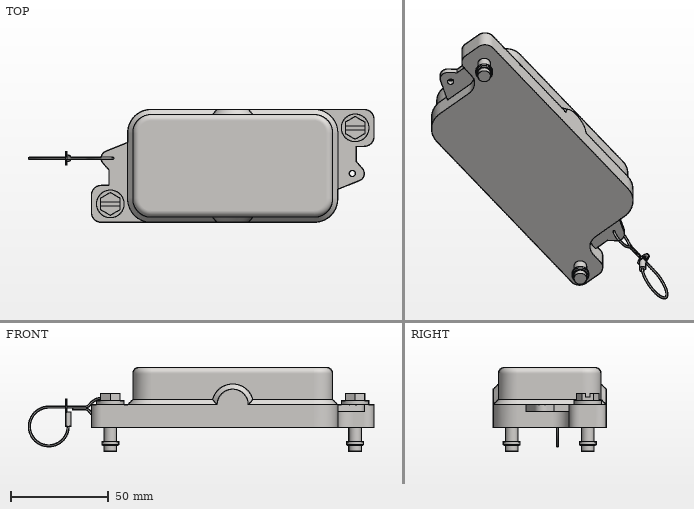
import cadquery as cq
import math

overall_length = 177.5

base_half_length = 54.0
base_width = 58.0
base_half_width = base_width / 2
base_height = 11.7
base_corner_radius = 12.0

ledge = 2.7
dome_top = 30.9
dome_edge_radius = 3.2

boss_radius = 8.0

ear_end = 72.6
ear_inner_y = 10.0
ear_corner_radius = 5.1
ear_blend_radius = 7.8

tab_thickness = 3.5
tab_step_x = 63.5
tab_step_y = ear_inner_y - ear_blend_radius
tab_tip = (70.3, -5.5)
tab_root_y = -12.0
tab_tip_radius = 3.9
eyelet_x = 61.5
eyelet_y = -3.9
eyelet_diameter = 3.0

screw_x = 62.8
screw_y = 19.5
washer_diameter = 14.2
washer_height = 2.1
hex_across_flats = 10.1
hex_height = 3.7
slot_width = 2.1
slot_depth = 1.8
shank_diameter = 6.5
shank_end = -12.2
collar_diameter = 8.7
collar_top = -7.3
collar_height = 2.0
collar_chamfer = 0.5

lanyard_y = -eyelet_y
wire_diameter = 1.0
ring_radius = 10.0
ring_x = ear_end - overall_length + ring_radius + wire_diameter / 2
ring_z = 0.5
splice_start = -82.2
splice_end = -76.0
splice_spacing = 0.9
loop_x = -eyelet_x
loop_bulge_x = -72.8
loop_bulge_height = 2.5
loop_crest_x = -65.7
loop_half_height = 5.0
strand_end_height = 0.9
tab_mid_z = base_height - tab_thickness / 2

plate_x = -85.7
plate_thickness = 0.7
plate_radius = 3.5
plate_hole_radius = 2.0
plate_z = 11.0
crimp_radius = 1.69
crimp_x = -84.7
crimp_top = 8.0


def rounded_block(half_length, half_width, corner_radius, height):
    """Upright block centred on the origin with rounded vertical edges."""
    return (
        cq.Workplane("XY")
        .rect(2 * half_length, 2 * half_width)
        .extrude(height)
        .edges("|Z")
        .fillet(corner_radius)
    )


def half_turn(shape):
    """The same feature at the opposite corner of the part."""
    return shape.rotate((0, 0, 0), (0, 0, 1), 180)


def make_cover():
    """Base with its chamfered ledge and the round-edged dome above it."""
    base = rounded_block(
        base_half_length, base_half_width, base_corner_radius, base_height + ledge
    )
    base = base.faces(">Z").chamfer(ledge)
    dome = rounded_block(
        base_half_length - ledge, base_half_width - ledge, base_corner_radius - ledge, dome_top
    )
    dome = dome.faces(">Z").edges().fillet(dome_edge_radius)
    return base.union(dome)


def make_boss():
    """Cone on the +Y side; its lower half lies inside the base."""
    cone = cq.Solid.makeCone(
        boss_radius + ledge,
        boss_radius,
        ledge,
        pnt=cq.Vector(0, base_half_width - ledge, base_height),
        dir=cq.Vector(0, 1, 0),
    )
    return cq.Workplane(cone)


def make_ear():
    """Full-height ear at the +X +Y corner, blended into the end of the base."""
    ear = (
        cq.Workplane("XY")
        .moveTo(0, ear_inner_y)
        .lineTo(ear_end, ear_inner_y)
        .lineTo(ear_end, base_half_width)
        .lineTo(0, base_half_width)
        .close()
        .extrude(base_height)
        .edges("|Z and >X")
        .fillet(ear_corner_radius)
    )
    blend = (
        cq.Workplane("XY")
        .moveTo(base_half_length, ear_inner_y)
        .lineTo(base_half_length + ear_blend_radius, ear_inner_y)
        .radiusArc((base_half_length, ear_inner_y - ear_blend_radius), -ear_blend_radius)
        .close()
        .extrude(base_height)
    )
    return ear.union(blend)


def make_tab():
    """Thin tab at the +X end, flush with the top of the ear."""
    return (
        cq.Workplane("XY", origin=(0, 0, base_height - tab_thickness))
        .moveTo(0, tab_root_y)
        .lineTo(base_half_length, tab_root_y)
        .lineTo(*tab_tip)
        .lineTo(tab_step_x, tab_step_y)
        .lineTo(tab_step_x, ear_inner_y)
        .lineTo(0, ear_inner_y)
        .close()
        .extrude(tab_thickness)
        .edges("|Z and >X")
        .fillet(tab_tip_radius)
    )


def make_screw():
    """Slotted hex screw with a washer above the ear and a collar on its shank."""
    head_bottom = base_height + washer_height
    head_top = head_bottom + hex_height
    axis = cq.Workplane("XY", origin=(screw_x, screw_y, 0))
    washer = axis.workplane(offset=base_height).circle(washer_diameter / 2).extrude(washer_height)
    hex_diameter = hex_across_flats / math.cos(math.pi / 6)
    head = axis.workplane(offset=head_bottom).transformed(rotate=(0, 0, 90))
    head = head.polygon(6, hex_diameter).extrude(hex_height)
    slot = axis.workplane(offset=head_top - slot_depth)
    slot = slot.rect(hex_diameter, slot_width).extrude(slot_depth)
    shank = axis.workplane(offset=shank_end).circle(shank_diameter / 2)
    shank = shank.extrude(base_height - shank_end)
    collar = axis.workplane(offset=collar_top - collar_height).circle(collar_diameter / 2)
    collar = collar.extrude(collar_height).faces("<Z").chamfer(collar_chamfer)
    return washer.union(head.cut(slot)).union(shank).union(collar)


def sweep_wire(path, start, direction):
    """Round wire along a path in the lanyard plane, from its start (x, z) and direction."""
    start_plane = cq.Plane(origin=(start[0], lanyard_y, start[1]), xDir=(0, 1, 0), normal=direction)
    return cq.Workplane(start_plane).circle(wire_diameter / 2).sweep(path)


def add_loop_strand(run, side):
    """Continue a straight run around one half of the loop: side is 1 above the tab, -1 below."""
    return run.spline(
        [
            (loop_bulge_x, tab_mid_z + side * loop_bulge_height),
            (loop_crest_x, tab_mid_z + side * loop_half_height),
            (loop_x, tab_mid_z + side * strand_end_height),
        ],
        tangents=[(1, 0), (0, -side)],
        includeCurrent=True,
    )


def make_wire():
    """Open ring running into the upper loop strand, and the doubled end with the lower one."""
    plane = cq.Workplane("XZ", origin=(0, lanyard_y, 0))
    run_z = ring_z + ring_radius
    return_z = run_z - splice_spacing
    diagonal = ring_radius * math.sqrt(0.5)

    ring_start = (ring_x + ring_radius, ring_z)
    ring_path = (
        plane.moveTo(*ring_start)
        .threePointArc((ring_x - diagonal, ring_z - diagonal), (ring_x, run_z))
        .lineTo(splice_end, run_z)
    )
    ring = sweep_wire(add_loop_strand(ring_path, 1), ring_start, (0, 0, -1))

    return_start = (splice_start, return_z)
    return_path = plane.moveTo(*return_start).lineTo(splice_end, return_z)
    return_end = sweep_wire(add_loop_strand(return_path, -1), return_start, (1, 0, 0))
    return ring.union(return_end)


def make_stop():
    """Pierced stop plate with a flat-backed crimp below it."""
    plate = (
        cq.Workplane("YZ", origin=(plate_x, lanyard_y, plate_z))
        .circle(plate_radius)
        .circle(plate_hole_radius)
        .extrude(plate_thickness)
    )
    crimp_height = crimp_top - ring_z
    crimp = cq.Workplane("XY", origin=(crimp_x, lanyard_y, ring_z))
    crimp = crimp.circle(crimp_radius).extrude(crimp_height)
    ahead_of_flat = cq.Workplane("XY", origin=(plate_x, lanyard_y, ring_z)).box(
        2 * crimp_radius, 2 * crimp_radius, crimp_height, centered=(False, True, False)
    )
    return plate.union(crimp.intersect(ahead_of_flat))


def make_eyelet():
    """Cutter for the open hole in the tab without a lanyard."""
    return (
        cq.Workplane("XY")
        .center(eyelet_x, eyelet_y)
        .circle(eyelet_diameter / 2)
        .extrude(base_height)
    )


boss = make_boss()
cover = make_cover().union(boss).union(half_turn(boss))

corner = make_ear().union(make_tab()).union(make_screw())
open_corner = corner.cut(make_eyelet())
body = cover.union(open_corner).union(half_turn(corner))

result = body.union(make_wire()).union(make_stop())